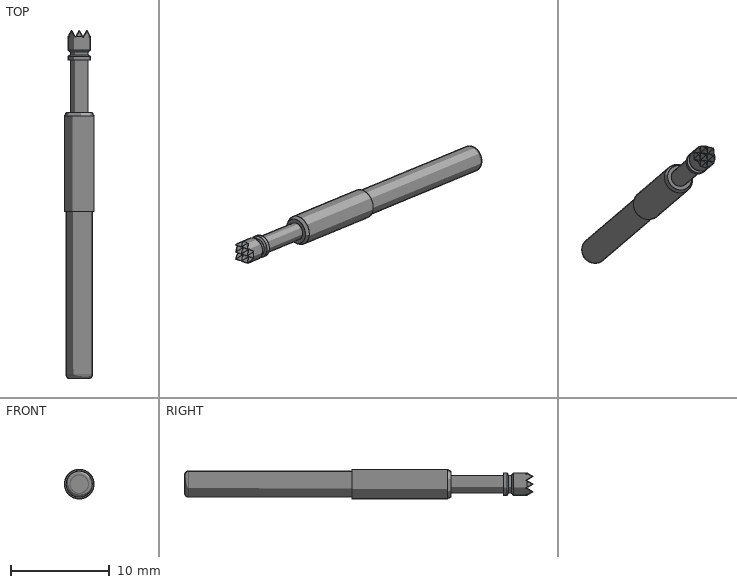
import cadquery as cq

length = 35.3

head_diameter = 2.25
neck_diameter = 1.8
stem_diameter = 1.8
collar_diameter = 3.0
barrel_diameter = 2.65

head_taper_start = 1.98
neck_start = 2.2
neck_end = 2.47
flange_start = 2.6
flange_end = 3.0
collar_start = 8.3
collar_end = 18.35

collar_bevel_length = 0.35
collar_bevel_depth = 0.2
barrel_end_radius = 0.4

tooth_pitch = 0.78
tooth_depth = 0.67
grooves_per_direction = 4

crown_tip = length / 2


def make_turned_body():
    """Revolve the stepped half profile about Y, given as radius and distance from the tip."""
    steps = [
        (0, 0),
        (head_diameter / 2, 0),
        (head_diameter / 2, head_taper_start),
        (neck_diameter / 2, neck_start),
        (neck_diameter / 2, neck_end),
        (head_diameter / 2, flange_start),
        (head_diameter / 2, flange_end),
        (stem_diameter / 2, flange_end),
        (stem_diameter / 2, collar_start),
        (collar_diameter / 2 - collar_bevel_depth, collar_start),
        (collar_diameter / 2, collar_start + collar_bevel_length),
        (collar_diameter / 2, collar_end),
        (barrel_diameter / 2, collar_end),
        (barrel_diameter / 2, length),
        (0, length),
    ]
    profile = [(radius, crown_tip - distance) for radius, distance in steps]
    body = cq.Workplane("XY").polyline(profile).close().revolve(360, (0, 0, 0), (0, 1, 0))
    return body.faces("<Y").edges().fillet(barrel_end_radius)


def make_groove(center):
    """V groove running along Z, as wide as the tooth pitch at the crown tip."""
    corners = [
        (center - tooth_pitch / 2, crown_tip),
        (center + tooth_pitch / 2, crown_tip),
        (center, crown_tip - tooth_depth),
    ]
    return cq.Workplane("XY").polyline(corners).close().extrude(head_diameter, both=True)


def cut_crown(body):
    """Cut evenly spaced V grooves along Z and along X into the tip of the head."""
    for index in range(grooves_per_direction):
        center = (index - (grooves_per_direction - 1) / 2) * tooth_pitch
        groove = make_groove(center)
        crossing_groove = groove.rotate((0, 0, 0), (0, 1, 0), 90)
        body = body.cut(groove).cut(crossing_groove)
    return body


result = cut_crown(make_turned_body())